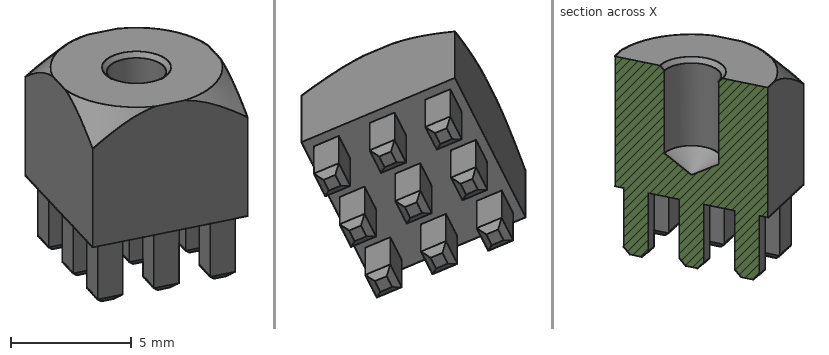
import cadquery as cq
import math

body_width = 7.0
body_height = 6.0

top_face_radius = 3.56
corner_radius = math.hypot(body_width, body_width) / 2
cone_drop = corner_radius - top_face_radius

hole_diameter = 2.46
mouth_diameter = 2.86
hole_depth = 4.0
drill_point_angle = 118.0

pins_per_side = 3
pin_pitch = 2.54
pin_width = 1.14
pin_length = 3.0
pin_tip_chamfer = 0.3


def make_body():
    """Square block trimmed at the top corners by a cone."""
    block = cq.Workplane("XY").box(body_width, body_width, body_height, centered=(True, True, False))
    turned_blank = (
        cq.Workplane("XZ")
        .moveTo(0, 0)
        .lineTo(corner_radius, 0)
        .lineTo(corner_radius, body_height - cone_drop)
        .lineTo(top_face_radius, body_height)
        .lineTo(0, body_height)
        .close()
        .revolve(360, (0, 0, 0), (0, 1, 0))
    )
    return block.intersect(turned_blank)


def make_hole():
    """Volume removed by the countersunk blind hole."""
    hole_radius = hole_diameter / 2
    mouth_radius = mouth_diameter / 2
    mouth_depth = mouth_radius - hole_radius
    shoulder_z = body_height - hole_depth
    point_height = hole_radius / math.tan(math.radians(drill_point_angle / 2))
    return (
        cq.Workplane("XZ")
        .moveTo(0, shoulder_z - point_height)
        .lineTo(hole_radius, shoulder_z)
        .lineTo(hole_radius, body_height - mouth_depth)
        .lineTo(mouth_radius, body_height)
        .lineTo(0, body_height)
        .close()
        .revolve(360, (0, 0, 0), (0, 1, 0))
    )


def make_pins():
    """Grid of square pins with chamfered tips, hanging below the body."""
    pin = (
        cq.Workplane("XY")
        .rect(pin_width, pin_width)
        .extrude(-pin_length)
        .faces("<Z")
        .chamfer(pin_tip_chamfer)
    )
    grid = cq.Workplane("XY").rarray(pin_pitch, pin_pitch, pins_per_side, pins_per_side)
    return grid.eachpoint(lambda location: pin.val().located(location))


result = make_body().cut(make_hole()).union(make_pins())